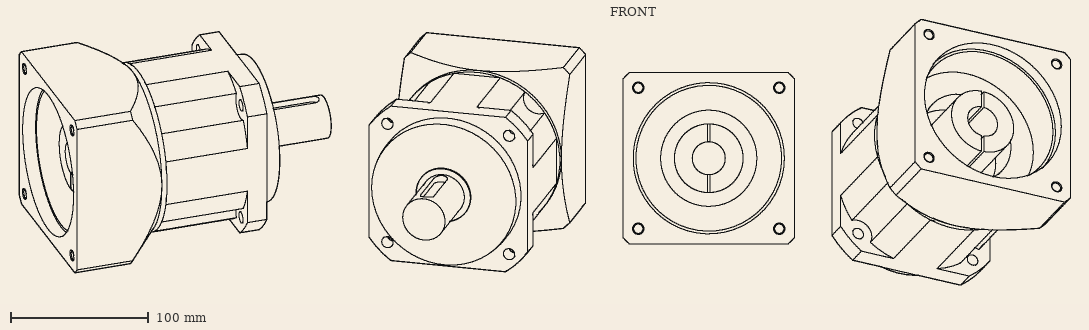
import cadquery as cq
import math


adapter_length = 69.5
body_length = 63.0
flange_thickness = 15.0
pilot_length = 12.0
shaft_projection = 65.5
flange_back = adapter_length + body_length
flange_front = flange_back + flange_thickness
pilot_front = flange_front + pilot_length
shaft_end = flange_front + shaft_projection

body_width = 120.0
body_radius = 62.5
flange_corner_radius = 74.0
flange_hole_diameter = 8.5
flange_hole_circle = 130.0
bolt_relief_radius = 11.0

pilot_radius = 55.0
pilot_tip_radius = 54.5
pilot_lead_length = 4.0
collar_radius = 20.5
collar_length = 1.5
shaft_radius = 16.0
key_width = 10.0
key_length = 46.0
key_depth = 5.0
key_end_gap = 4.0

hub_radius = 25.0
hub_bore_radius = 12.0
hub_recess = 17.5
hub_bore_depth = 40.0
hub_slit_width = 2.0
hub_slit_depth = 30.0

adapter_width = 125.0
adapter_corner_radius = 85.0
adapter_rim_radius = adapter_width / 2
adapter_rim_length = 4.0
motor_pilot_radius = 55.0
motor_pilot_depth = 10.0
cavity_radius = 53.0
cavity_depth = 43.5
hub_opening_radius = 35.0
motor_hole_circle = 145.0
motor_hole_diameter = 6.8
motor_hole_mouth_diameter = 8.2
motor_hole_depth = 20.0
drill_point_angle = 118.0


def cylinder(radius, start, end):
    """Cylinder on the gearbox axis between two Y stations."""
    return cq.Workplane("XZ", origin=(0, start, 0)).circle(radius).extrude(start - end)


def square_bar(width, start, end):
    """Square bar centred on the gearbox axis between two Y stations."""
    return cq.Workplane("XZ", origin=(0, start, 0)).rect(width, width).extrude(start - end)


def corner_points(circle_diameter):
    """The four X, Z points on the diagonals of a bolt circle."""
    offset = circle_diameter / 2 * math.sqrt(0.5)
    return [(x, z) for x in (-offset, offset) for z in (-offset, offset)]


def corner_cylinders(circle_diameter, radius, start, end):
    """Four cylinders parallel to the axis, on the diagonals of a bolt circle."""
    return (
        cq.Workplane("XZ", origin=(0, start, 0))
        .pushPoints(corner_points(circle_diameter))
        .circle(radius)
        .extrude(start - end)
    )


def revolve_about_axis(points):
    """Solid of revolution about Y from (radius, Y) points."""
    return cq.Workplane("XY").polyline(points).close().revolve(360, (0, 0, 0), (0, 1, 0))


def make_body_block():
    """Flat-sided round body with corner bolt reliefs, and its output flange."""
    body = square_bar(body_width, adapter_length, flange_back)
    body = body.intersect(cylinder(body_radius, adapter_length, flange_back))
    body = body.cut(corner_cylinders(flange_hole_circle, bolt_relief_radius, adapter_length, flange_back))

    flange = square_bar(body_width, flange_back, flange_front)
    flange = flange.intersect(cylinder(flange_corner_radius, flange_back, flange_front))
    flange = flange.cut(
        corner_cylinders(flange_hole_circle, flange_hole_diameter / 2, flange_back, flange_front)
    )
    return body.union(flange)


def make_output_end():
    """Pilot with a tapered lead-in, collar and keyed output shaft."""
    lead_start = pilot_front - pilot_lead_length
    pilot = cylinder(pilot_radius, flange_front, lead_start)
    lead = revolve_about_axis([
        (0, lead_start),
        (pilot_radius, lead_start),
        (pilot_tip_radius, pilot_front),
        (0, pilot_front),
    ])
    collar = cylinder(collar_radius, pilot_front, pilot_front + collar_length)
    shaft = cylinder(shaft_radius, pilot_front, shaft_end)

    key_centre = shaft_end - key_end_gap - key_length / 2
    keyway = (
        cq.Workplane("XY", origin=(0, key_centre, shaft_radius - key_depth))
        .slot2D(key_length, key_width, 90)
        .extrude(2 * key_depth)
    )
    return pilot.union(lead).union(collar).union(shaft.cut(keyway))


def make_input_hub():
    """Clamp hub with a blind bore and a slit across its open end."""
    hub = cylinder(hub_radius, hub_recess, adapter_length)
    bore = cylinder(hub_bore_radius, hub_recess, hub_recess + hub_bore_depth)
    slit = cq.Workplane("XY").box(hub_slit_width, hub_slit_depth, 2 * hub_radius)
    slit = slit.translate((0, hub_recess + hub_slit_depth / 2, 0))
    return hub.cut(bore).cut(slit)


def make_gearbox():
    return make_body_block().union(make_output_end()).union(make_input_hub())


def make_motor_hole():
    """Blind drilled hole with a chamfered mouth and a conical bottom, on the axis."""
    radius = motor_hole_diameter / 2
    mouth_radius = motor_hole_mouth_diameter / 2
    point_length = radius / math.tan(math.radians(drill_point_angle / 2))
    return revolve_about_axis([
        (0, 0),
        (mouth_radius, 0),
        (radius, mouth_radius - radius),
        (radius, motor_hole_depth),
        (0, motor_hole_depth + point_length),
    ])


def make_adapter():
    """Square motor adapter, turned to a 45 degree cone and a rim at the gearbox end."""
    rim_start = adapter_length - adapter_rim_length
    cone_start = rim_start - (adapter_corner_radius - adapter_rim_radius)
    turned = revolve_about_axis([
        (0, 0),
        (adapter_corner_radius, 0),
        (adapter_corner_radius, cone_start),
        (adapter_rim_radius, rim_start),
        (adapter_rim_radius, adapter_length),
        (0, adapter_length),
    ])
    adapter = square_bar(adapter_width, 0, adapter_length).intersect(turned)

    adapter = adapter.cut(cylinder(motor_pilot_radius, 0, motor_pilot_depth))
    adapter = adapter.cut(cylinder(cavity_radius, 0, cavity_depth))
    adapter = adapter.cut(cylinder(hub_opening_radius, 0, adapter_length))
    motor_hole = make_motor_hole()
    for x, z in corner_points(motor_hole_circle):
        adapter = adapter.cut(motor_hole.translate((x, 0, z)))
    return adapter


gearbox = make_gearbox()
adapter = make_adapter()

result = cq.Compound.makeCompound([gearbox.val(), adapter.val()])